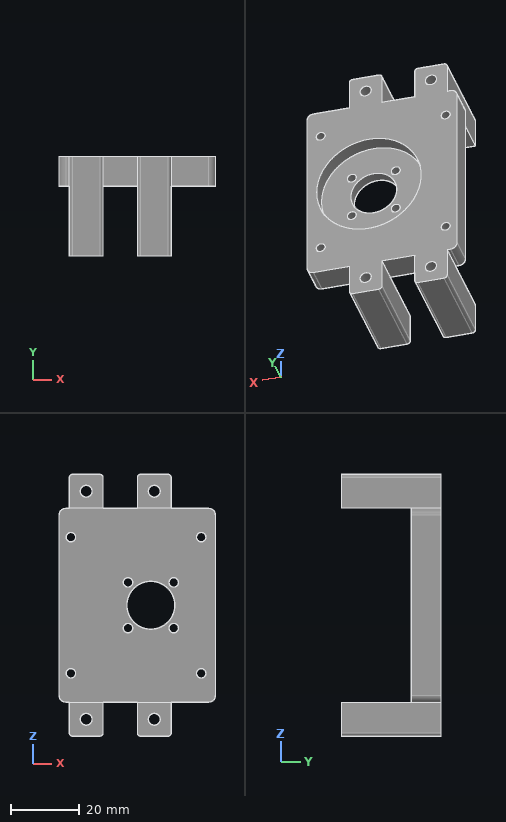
import cadquery as cq
import math

plate_width = 46.0
plate_height = 57.0
plate_thickness = 8.8
plate_corner_radius = 2.0

shaft_from_left = 27.0
shaft_hole_diameter = 14.0
bolt_circle_diameter = 19.0
bolt_count = 4
first_bolt_angle = 45.0
screw_hole_diameter = 2.7

recess_depth = 5.0
recess_side_wall = 3.0

mount_from_left = 3.5
mount_spacing_x = 38.3
mount_spacing_z = 40.0

arm_size = 10.0
arm_length = 29.3
arm_edge_radius = 1.0
arm_hole_diameter = 3.4
first_arm_from_left = 8.0
arm_pitch = 20.0

recess_radius = plate_width - shaft_from_left - recess_side_wall
plate_left = -shaft_from_left
plate_center_x = plate_left + plate_width / 2
arm_center_z = (plate_height + arm_size) / 2
first_arm_x = plate_left + first_arm_from_left
arm_xs = [first_arm_x, first_arm_x + arm_pitch]
mount_center_x = plate_left + mount_from_left + mount_spacing_x / 2


def back_plane(x=0, z=0):
    """Workplane on the back face (y = 0), centred at (x, z); extrusions run towards -Y."""
    return cq.Workplane("XZ").center(x, z)


def make_plate():
    blank = back_plane(plate_center_x).rect(plate_width, plate_height).extrude(plate_thickness)
    return blank.edges("|Y").fillet(plate_corner_radius)


def make_arm(x, side):
    """Arm at x, above (side = 1) or below (side = -1) the plate, rounded on its outer edges."""
    bar = back_plane(x, side * arm_center_z).rect(arm_size, arm_size).extrude(arm_length)
    outer_face = ">Z" if side > 0 else "<Z"
    return bar.faces(outer_face).edges("|Y").fillet(arm_edge_radius)


def make_recess():
    return back_plane().circle(recess_radius).extrude(recess_depth)


def through_holes(points, diameter):
    """Cylinders along Y that run through the full depth of the part."""
    return back_plane().pushPoints(points).circle(diameter / 2).extrude(arm_length)


def bolt_points():
    radius = bolt_circle_diameter / 2
    angles = [math.radians(first_bolt_angle + 360 / bolt_count * i) for i in range(bolt_count)]
    return [(radius * math.cos(a), radius * math.sin(a)) for a in angles]


def mount_points():
    half_x = mount_spacing_x / 2
    half_z = mount_spacing_z / 2
    return [(mount_center_x + sx * half_x, sz * half_z) for sx in (-1, 1) for sz in (-1, 1)]


result = make_plate()
for arm_x in arm_xs:
    for arm_side in (-1, 1):
        result = result.union(make_arm(arm_x, arm_side))

arm_points = [(x, side * arm_center_z) for x in arm_xs for side in (-1, 1)]
result = result.cut(make_recess())
result = result.cut(through_holes([(0, 0)], shaft_hole_diameter))
result = result.cut(through_holes(bolt_points() + mount_points(), screw_hole_diameter))
result = result.cut(through_holes(arm_points, arm_hole_diameter))